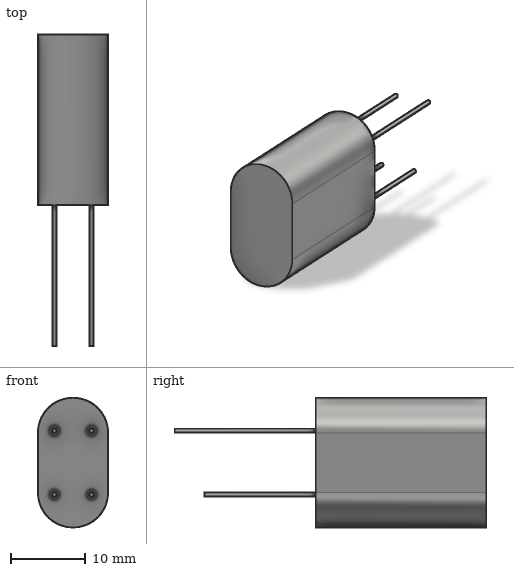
import cadquery as cq

body_width = 9.5
body_height = 17.5
body_length = 23.0

total_length = 42.0
upper_lead_length = total_length - body_length
lower_lead_length = 15.0
lead_diameter = 0.6
lead_spacing_x = 5.0
lead_spacing_z = 8.6


def make_body():
    """Stadium profile in XZ, extruded toward +Y from the lead face at Y = 0."""
    return (
        cq.Workplane("XZ")
        .slot2D(body_height, body_width, angle=90)
        .extrude(-body_length)
    )


def make_lead_pair(z, length):
    """Two leads side by side at height z, running toward -Y from the body."""
    half_spacing = lead_spacing_x / 2
    return (
        cq.Workplane("XZ")
        .pushPoints([(-half_spacing, z), (half_spacing, z)])
        .circle(lead_diameter / 2)
        .extrude(length)
    )


upper_leads = make_lead_pair(lead_spacing_z / 2, upper_lead_length)
lower_leads = make_lead_pair(-lead_spacing_z / 2, lower_lead_length)

result = make_body().union(upper_leads).union(lower_leads)